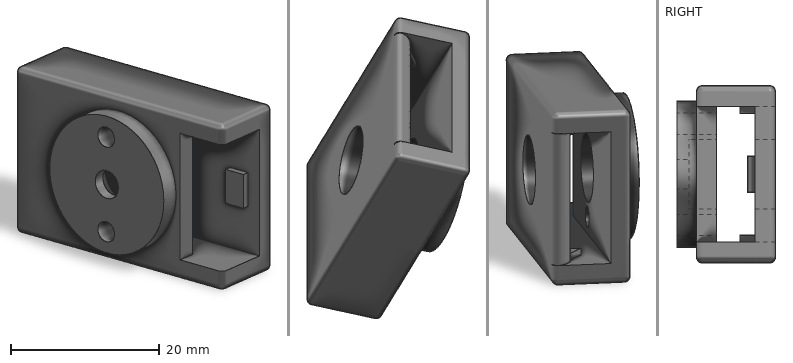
import cadquery as cq
import math

LENGTH = 35.9
DEPTH = 10.65
HEIGHT = 23.9
EDGE_RADIUS = 0.83

SLOT_HEIGHT = 18.25
FRONT_WALL = 2.73
BACK_WALL = 2.8
SLOT_BACK = DEPTH - BACK_WALL

LIP_SETBACK = 0.18
LIP_OUTER_RADIUS = 0.83
LIP_INNER_RADIUS = 2.95
LIP_RADIUS_STEP = LIP_INNER_RADIUS - LIP_OUTER_RADIUS
LIP_JOIN_ANGLE = math.asin((LIP_OUTER_RADIUS + LIP_INNER_RADIUS - BACK_WALL) / LIP_RADIUS_STEP)
LIP_OUTER_X = -LENGTH / 2 + LIP_SETBACK + LIP_OUTER_RADIUS
LIP_OUTER_Y = DEPTH - LIP_OUTER_RADIUS
LIP_INNER_X = LIP_OUTER_X + LIP_RADIUS_STEP * math.cos(LIP_JOIN_ANGLE)
LIP_INNER_Y = SLOT_BACK + LIP_INNER_RADIUS

BOSS_DIAMETER = 19.7
BOSS_HEIGHT = 2.62
BORE_DIAMETER = 4.0
COUNTERBORE_DIAMETER = 9.4
BORE_LAND = 1.65
PIN_DIAMETER = 2.87
PIN_OFFSET_X = -0.1
PIN_OFFSET_Z = 6.82

WINDOW_LENGTH = 7.4

CATCH_LENGTH = 3.1
CATCH_HEIGHT = 4.9
CATCH_RISE = 0.97
CATCH_END_GAP = 1.97

GUIDE_LENGTH = 2.7
GUIDE_RISE = 2.0
GUIDE_THICKNESS = 0.95


def box(x_range, y_range, z_range):
    """Block spanning the given (low, high) ranges."""
    sizes = [high - low for low, high in (x_range, y_range, z_range)]
    corner = (x_range[0], y_range[0], z_range[0])
    return cq.Workplane("XY").box(*sizes, centered=False).translate(corner)


def centered(size):
    """Range of the given size, centered on zero."""
    return (-size / 2, size / 2)


def rod(diameter, y_start, y_end, x=0.0, z=0.0):
    """Cylinder along Y between two depths."""
    profile = cq.Workplane("XZ", origin=(x, y_start, z)).circle(diameter / 2)
    return profile.extrude(y_start - y_end)


def on_arc(x, y, radius, angle):
    """Point on a circle, with the angle measured from -X towards -Y."""
    return (x - radius * math.cos(angle), y - radius * math.sin(angle))


def slot():
    """Slot through the body, shaped around the rounded end of the back wall."""
    left = -LENGTH / 2
    join = on_arc(LIP_OUTER_X, LIP_OUTER_Y, LIP_OUTER_RADIUS, LIP_JOIN_ANGLE)
    inner_middle = on_arc(LIP_INNER_X, LIP_INNER_Y, LIP_INNER_RADIUS, (LIP_JOIN_ANGLE + math.pi / 2) / 2)
    outer_middle = on_arc(LIP_OUTER_X, LIP_OUTER_Y, LIP_OUTER_RADIUS, (LIP_JOIN_ANGLE - math.pi / 2) / 2)
    profile = (
        cq.Workplane("XY", origin=(0, 0, -SLOT_HEIGHT / 2))
        .moveTo(left, FRONT_WALL)
        .lineTo(-left, FRONT_WALL)
        .lineTo(-left, SLOT_BACK)
        .lineTo(LIP_INNER_X, SLOT_BACK)
        .threePointArc(inner_middle, join)
        .threePointArc(outer_middle, (LIP_OUTER_X, DEPTH))
        .lineTo(left, DEPTH)
        .close()
    )
    return profile.extrude(SLOT_HEIGHT)


def guides():
    """Triangular guides, one at each end of the slot height, ramping up from the end of the lip."""
    peak_x = LIP_INNER_X + GUIDE_LENGTH
    lower = (
        cq.Workplane("XY", origin=(0, 0, -SLOT_HEIGHT / 2))
        .moveTo(LIP_INNER_X, SLOT_BACK)
        .lineTo(peak_x, SLOT_BACK - GUIDE_RISE)
        .lineTo(peak_x, SLOT_BACK)
        .close()
        .extrude(GUIDE_THICKNESS)
    )
    return lower.union(lower.mirror("XY"))


def catch():
    """Block standing on the slot side of the back wall."""
    right = LENGTH / 2 - CATCH_END_GAP
    return box((right - CATCH_LENGTH, right), (SLOT_BACK - CATCH_RISE, SLOT_BACK), centered(CATCH_HEIGHT))


def window():
    """Opening in the front wall, as tall as the slot and open at the +X end."""
    right = LENGTH / 2
    return box((right - WINDOW_LENGTH, right), (0, FRONT_WALL), centered(SLOT_HEIGHT))


result = box(centered(LENGTH), (0, DEPTH), centered(HEIGHT)).edges().fillet(EDGE_RADIUS)
result = result.cut(slot()).cut(window())

result = result.union(rod(BOSS_DIAMETER, -BOSS_HEIGHT, 0))
result = result.union(guides()).union(catch())

result = result.cut(rod(BORE_DIAMETER, -BOSS_HEIGHT, DEPTH))
result = result.cut(rod(COUNTERBORE_DIAMETER, BORE_LAND - BOSS_HEIGHT, DEPTH))

for side in (-1, 1):
    result = result.cut(rod(PIN_DIAMETER, -BOSS_HEIGHT, FRONT_WALL, PIN_OFFSET_X, side * PIN_OFFSET_Z))